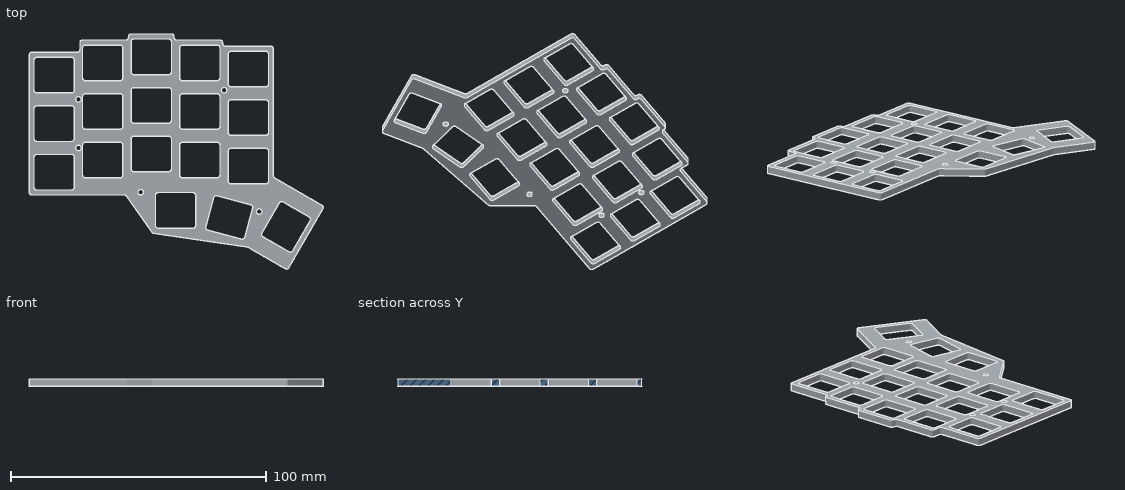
import cadquery as cq
import math


thickness = 3.0
key_pitch = 19.0
rows = 3
stagger_step = key_pitch / 8
column_steps = [0, 2, 3, 2, 1]
window_width = 15.7
window_height = 13.8
side_margin = 2.0
cell_half = 9.0
corner_radius = 1.0
screw_diameter = 2.1

first_key_x = window_width / 2 + side_margin
first_key_y = cell_half
column_x = [first_key_x + column * key_pitch for column in range(len(column_steps))]
column_y = [first_key_y + steps * stagger_step for steps in column_steps]
block_right = column_x[-1] + first_key_x


def from_first_key(x, y):
    """Place a point given relative to the lower-left key."""
    return (first_key_x + x, first_key_y + y)


inner_thumb = from_first_key(2.5 * key_pitch, -15.0)
middle_thumb = from_first_key(68.5, -17.7)
outer_thumb = from_first_key(90.7, -21.4)
middle_thumb_angle = -15
outer_thumb_tilt = -30
outer_half_length = 14.4

screw_holes = [
    from_first_key(key_pitch / 2, key_pitch / 2),
    from_first_key(key_pitch / 2, 1.5 * key_pitch),
    from_first_key(3.5 * key_pitch, 1.5 * (key_pitch + stagger_step)),
    from_first_key(33.9, -7.8),
    from_first_key(80.3, -15.4),
]


def outer_thumb_corner(across, along):
    """Point in the tilted frame of the outer thumb key."""
    tilt = math.radians(outer_thumb_tilt)
    return (
        outer_thumb[0] + across * math.cos(tilt) - along * math.sin(tilt),
        outer_thumb[1] + across * math.sin(tilt) + along * math.cos(tilt),
    )


def column_top(column):
    return column_y[column] + (rows - 1) * key_pitch + cell_half


def top_outline():
    """Stepped upper edge, from left to right; each step follows the higher column."""
    points = [(0, column_top(0))]
    for column in range(len(column_steps) - 1):
        if column_steps[column + 1] > column_steps[column]:
            step_x = column_x[column + 1] - cell_half
        else:
            step_x = column_x[column] + cell_half
        points += [(step_x, column_top(column)), (step_x, column_top(column + 1))]
    points.append((block_right, column_top(-1)))
    return points


def thumb_outline():
    """Edge around the thumb cluster, from the block's right side to its bottom edge."""
    upper_right = outer_thumb_corner(cell_half, outer_half_length)
    slope = math.tan(math.radians(outer_thumb_tilt))
    block_junction = (block_right, upper_right[1] + (block_right - upper_right[0]) * slope)
    return [
        block_junction,
        upper_right,
        outer_thumb_corner(cell_half, -outer_half_length),
        outer_thumb_corner(-cell_half, -outer_half_length),
        (inner_thumb[0] - cell_half, inner_thumb[1] - cell_half),
        (column_x[1] + cell_half, 0),
    ]


def key_window(center, angle=0):
    """Cutter for one rounded switch window."""
    return (
        cq.Workplane("XY")
        .rect(window_width, window_height)
        .extrude(thickness)
        .edges("|Z")
        .fillet(corner_radius)
        .rotate((0, 0, 0), (0, 0, 1), angle)
        .translate((center[0], center[1], 0))
    )


outline = [(0, 0)] + top_outline() + thumb_outline()
plate = cq.Workplane("XY").polyline(outline).close().extrude(thickness)
plate = plate.edges("|Z").fillet(corner_radius)

for x, lowest_y in zip(column_x, column_y):
    for row in range(rows):
        plate = plate.cut(key_window((x, lowest_y + row * key_pitch)))

plate = plate.cut(key_window(inner_thumb))
plate = plate.cut(key_window(middle_thumb, middle_thumb_angle))
plate = plate.cut(key_window(outer_thumb, outer_thumb_tilt + 90))

screws = cq.Workplane("XY").pushPoints(screw_holes).circle(screw_diameter / 2).extrude(thickness)
result = plate.cut(screws)